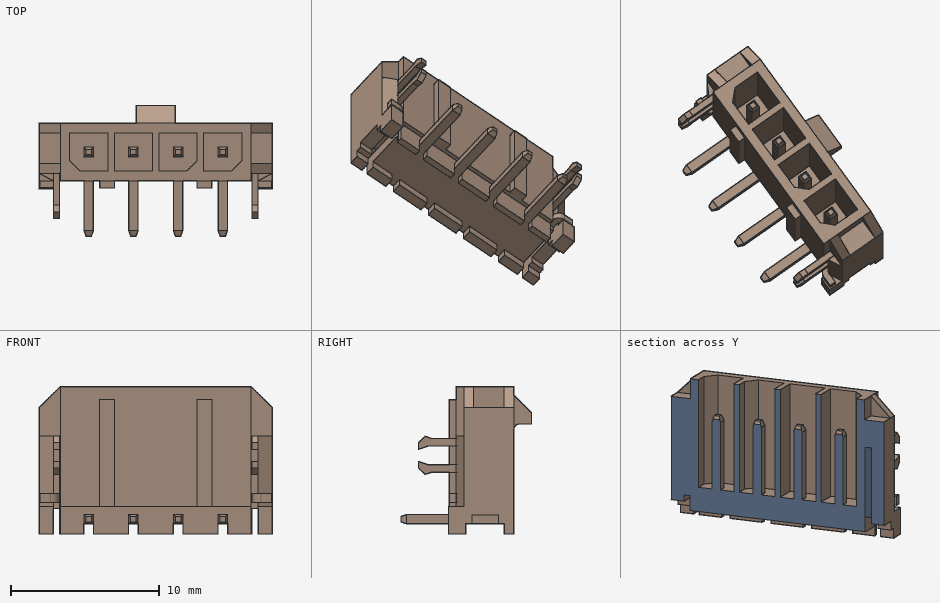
import cadquery as cq
import math


HOUSING_LENGTH = 15.65
HOUSING_HEIGHT = 9.9
BODY_LENGTH = 12.8
BODY_DEPTH = 3.88
BODY_FRONT = -BODY_DEPTH / 2
BODY_BACK = BODY_DEPTH / 2
BODY_END = BODY_LENGTH / 2
HOUSING_END = HOUSING_LENGTH / 2

BASE_HEIGHT = 1.85
BASE_RECESS = 0.25
CHANNEL_HEIGHT = 0.68
CHANNEL_FRONT = -1.29
CHANNEL_BACK = 1.27

CONTACT_COUNT = 4
PITCH = 3.0
CONTACT_WIDTH = 0.64
CONTACT_TIP_WIDTH = 0.36
CONTACT_TAPER = 0.4
CONTACT_FRONT = -5.66
CONTACT_TOP = 7.5
CELL_SIZE = 2.57
CELL_FLOOR = 2.4
CELL_CHAMFER = 0.71
CELL_KEYS = [-1, 0, 1, 1]

EAR_FRONT = -1.43
EAR_SHOULDER = HOUSING_HEIGHT - 1.39
EAR_POCKET_FRONT = -0.78
EAR_POCKET_BACK = CHANNEL_BACK
EAR_NOTCH_FRONT = -0.87
EAR_NOTCH_BACK = 0.89
EAR_NOTCH_TOP = 1.28
FOOT_FRONT = -2.47

RIB_SPACING = 6.52
RIB_WIDTH = 1.01
RIB_TOP = 9.03
RIB_FRONT = -2.42

RAMP_WIDTH = 2.62
RAMP_BACK = 3.13
RAMP_REACH = RAMP_BACK - BODY_BACK
RAMP_TOP = 9.33
RAMP_BOTTOM = 7.38
RAMP_FILLET = 0.35

CLIP_THICKNESS = 0.42
CLIP_INNER = 6.45
CLIP_OUTER = CLIP_INNER + CLIP_THICKNESS
CLIP_BOTTOM = 1.71
CLIP_TOP = 6.57
PRONG_AXIS = 5.285
PRONG_GAP = 1.23
PRONG_HEIGHT = 0.52
BARB_HEIGHT = 0.15
BARB_OUTER_START = -3.57
BARB_INNER_START = -3.84
BARB_PEAK = -4.02
PRONG_TIP = -4.47
PRONG_TIP_INNER = 0.40
PRONG_TIP_OUTER = 0.865
TAB_BOTTOM = 2.12
TAB_TOP = 2.74
TAB_END = 7.76
TAB_FRONT = -2.38
TAB_BEND_RADIUS = 0.6

contact_positions = [(i - (CONTACT_COUNT - 1) / 2) * PITCH for i in range(CONTACT_COUNT)]


def block(x_range, y_range, z_range):
    """Box between the given limits."""
    spans = [x_range, y_range, z_range]
    sizes = [high - low for low, high in spans]
    corner = tuple(low for low, high in spans)
    return cq.Workplane("XY").box(*sizes, centered=False).translate(corner)


def profile_yz(points, x_start, x_end):
    """Prism with a Y-Z outline, running from x_start to x_end."""
    return cq.Workplane("YZ", origin=(x_start, 0, 0)).polyline(points).close().extrude(x_end - x_start)


def mirrored(shape):
    """Copy of a +X feature at the -X end."""
    return shape.mirror("YZ")


def ear():
    """+X ear: sloped shoulder, wedge beside the clip slot and a front foot."""
    slope = [
        (BODY_END, 0),
        (HOUSING_END, 0),
        (HOUSING_END, EAR_SHOULDER),
        (BODY_END, HOUSING_HEIGHT),
    ]
    shape = cq.Workplane("XZ", origin=(0, BODY_BACK, 0)).polyline(slope).close().extrude(BODY_BACK - EAR_FRONT)
    wedge = [(CLIP_OUTER, EAR_FRONT), (HOUSING_END, EAR_FRONT), (CLIP_OUTER, BODY_FRONT)]
    shape = shape.union(cq.Workplane("XY").polyline(wedge).close().extrude(CLIP_TOP))
    shape = shape.union(block((CLIP_OUTER, HOUSING_END), (FOOT_FRONT, EAR_FRONT), (0, BASE_HEIGHT)))
    pocket = block(
        (BODY_END, HOUSING_END), (EAR_POCKET_FRONT, EAR_POCKET_BACK), (EAR_SHOULDER, HOUSING_HEIGHT)
    )
    notch = block((CLIP_OUTER, HOUSING_END), (EAR_NOTCH_FRONT, EAR_NOTCH_BACK), (0, EAR_NOTCH_TOP))
    return shape.cut(pocket).cut(notch)


def ramp():
    """Locking ramp: 45 degree lead-in above, concave fillet where its underside meets the wall."""
    middle = RAMP_FILLET * (1 - math.sqrt(0.5))
    return (
        cq.Workplane("YZ", origin=(-RAMP_WIDTH / 2, 0, 0))
        .moveTo(BODY_BACK, RAMP_TOP)
        .lineTo(RAMP_BACK, RAMP_TOP - RAMP_REACH)
        .lineTo(RAMP_BACK, RAMP_BOTTOM)
        .lineTo(BODY_BACK + RAMP_FILLET, RAMP_BOTTOM)
        .threePointArc((BODY_BACK + middle, RAMP_BOTTOM - middle), (BODY_BACK, RAMP_BOTTOM - RAMP_FILLET))
        .close()
        .extrude(RAMP_WIDTH)
    )


def cell(x, key):
    """Contact cell, open at the top, with one front corner chamfered where it is keyed."""
    shape = block(
        (x - CELL_SIZE / 2, x + CELL_SIZE / 2), (-CELL_SIZE / 2, CELL_SIZE / 2), (CELL_FLOOR, HOUSING_HEIGHT)
    )
    if key:
        side = "<X" if key < 0 else ">X"
        shape = shape.edges("|Z").edges(side).edges("<Y").chamfer(CELL_CHAMFER)
    return shape


def contact_slot(x):
    """Slot across the base below and around the tail of one contact."""
    half = CONTACT_WIDTH / 2
    return block((x - half, x + half), (BODY_FRONT, BODY_BACK), (0, CHANNEL_HEIGHT))


def tapered_tip():
    """Truncated pyramid on the XY plane."""
    return (
        cq.Workplane("XY")
        .rect(CONTACT_WIDTH, CONTACT_WIDTH)
        .workplane(offset=CONTACT_TAPER)
        .rect(CONTACT_TIP_WIDTH, CONTACT_TIP_WIDTH)
        .loft(ruled=True)
    )


def contact(x):
    """Square right-angle contact: a leg up the cell and a tail out of the front."""
    half = CONTACT_WIDTH / 2
    tail_bottom = CHANNEL_HEIGHT
    tail_top = tail_bottom + CONTACT_WIDTH
    leg_end = CONTACT_TOP - CONTACT_TAPER
    tail_end = CONTACT_FRONT + CONTACT_TAPER
    leg = block((-half, half), (-half, half), (tail_bottom, leg_end))
    tail = block((-half, half), (tail_end, half), (tail_bottom, tail_top))
    leg_tip = tapered_tip().translate((0, 0, leg_end))
    tail_tip = tapered_tip().rotate((0, 0, 0), (1, 0, 0), 90).translate((0, tail_end, tail_bottom + half))
    return leg.union(tail).union(leg_tip).union(tail_tip).translate((x, 0, 0))


def prong(side):
    """Barbed solder prong above (side = 1) or below (side = -1) the clip's prong axis."""
    inner = PRONG_GAP / 2
    outer = inner + PRONG_HEIGHT
    outline = [
        (EAR_FRONT, inner),
        (BARB_INNER_START, inner),
        (PRONG_TIP, PRONG_TIP_INNER),
        (PRONG_TIP, PRONG_TIP_OUTER),
        (BARB_PEAK, outer + BARB_HEIGHT),
        (BARB_OUTER_START, outer),
        (EAR_FRONT, outer),
    ]
    points = [(y, PRONG_AXIS + side * z) for y, z in outline]
    return profile_yz(points, CLIP_INNER, CLIP_OUTER)


def tab():
    """Tongue that leaves the plate forwards and bends outwards over the ear."""
    bend_x = CLIP_INNER + TAB_BEND_RADIUS
    bend_y = TAB_FRONT + TAB_BEND_RADIUS
    inner_radius = TAB_BEND_RADIUS - CLIP_THICKNESS
    outer_mid = TAB_BEND_RADIUS * math.sqrt(0.5)
    inner_mid = inner_radius * math.sqrt(0.5)
    return (
        cq.Workplane("XY", origin=(0, 0, TAB_BOTTOM))
        .moveTo(CLIP_INNER, EAR_FRONT)
        .lineTo(CLIP_INNER, bend_y)
        .threePointArc((bend_x - outer_mid, bend_y - outer_mid), (bend_x, TAB_FRONT))
        .lineTo(TAB_END, TAB_FRONT)
        .lineTo(TAB_END, TAB_FRONT + CLIP_THICKNESS)
        .lineTo(bend_x, TAB_FRONT + CLIP_THICKNESS)
        .threePointArc((bend_x - inner_mid, bend_y - inner_mid), (CLIP_OUTER, bend_y))
        .lineTo(CLIP_OUTER, EAR_FRONT)
        .close()
        .extrude(TAB_TOP - TAB_BOTTOM)
    )


def clip():
    """+X board-lock clip: plate in the ear slot, two prongs and the bent tab."""
    plate = block((CLIP_INNER, CLIP_OUTER), (EAR_FRONT, EAR_NOTCH_BACK), (CLIP_BOTTOM, CLIP_TOP))
    return plate.union(prong(1)).union(prong(-1)).union(tab())


def clip_slot():
    """Gap below the +X clip, open from front to back."""
    return block((CLIP_INNER, CLIP_OUTER), (BODY_FRONT, BODY_BACK), (0, CLIP_BOTTOM))


def housing_shell():
    """Moulded housing without contacts or clips."""
    shell = block((-BODY_END, BODY_END), (BODY_FRONT, BODY_BACK), (0, HOUSING_HEIGHT))
    shell = shell.cut(block((-BODY_END, BODY_END), (BODY_FRONT, BODY_FRONT + BASE_RECESS), (0, BASE_HEIGHT)))
    for end in (ear(), mirrored(ear())):
        shell = shell.union(end)
    for rib_x in (-RIB_SPACING / 2, RIB_SPACING / 2):
        rib_span = (rib_x - RIB_WIDTH / 2, rib_x + RIB_WIDTH / 2)
        shell = shell.union(block(rib_span, (RIB_FRONT, BODY_FRONT), (BASE_HEIGHT, RIB_TOP)))
    shell = shell.union(ramp())
    for slot in (clip_slot(), mirrored(clip_slot())):
        shell = shell.cut(slot)
    shell = shell.cut(
        block((-HOUSING_END, HOUSING_END), (CHANNEL_FRONT, CHANNEL_BACK), (0, CHANNEL_HEIGHT))
    )
    for x, key in zip(contact_positions, CELL_KEYS):
        shell = shell.cut(cell(x, key)).cut(contact_slot(x))
    return shell


right_clip = clip()
left_clip = mirrored(right_clip)

housing = housing_shell().union(right_clip)
for position in contact_positions:
    housing = housing.union(contact(position))
housing = housing.cut(left_clip)

result = cq.Compound.makeCompound([housing.solids().val(), left_clip.solids().val()])